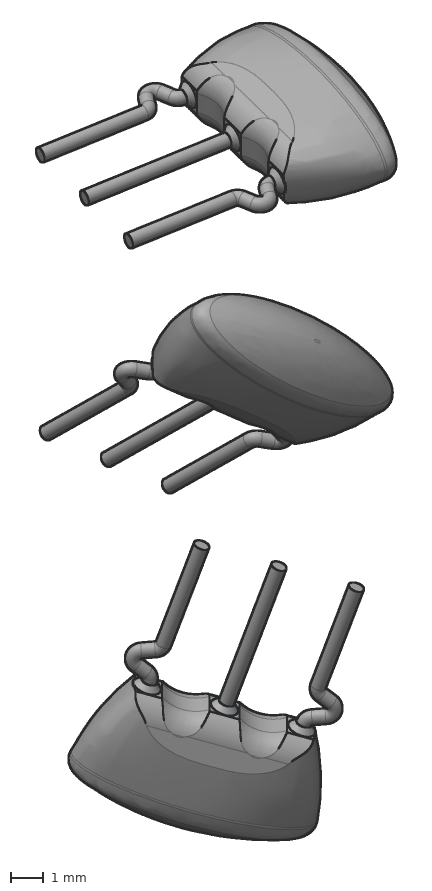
import cadquery as cq
import math

LEAD_RADIUS = 0.25
LEAD_PITCH = 2.5
LEAD_TOP = 5.22
KINK_BOTTOM = 3.8
KINK_OFFSET = 0.74
BEND_RADIUS = 0.29

BODY_TOP = 9.8
HALF_WIDTH = 4.05
SHOULDER_Y = 8.87
CROWN_MID = (2.02, 9.58)
FLANK_MID = (3.63, 6.99)
BASE_HALF_WIDTH = 2.91
BASE_Y = 5.43
SHOULDER_ROUND = 0.49
THICKNESS_RATIO = 0.375
CROWN_BASE = 8.43
SECTION_COUNT = 5
SECTION_POINTS = 32
ELLIPSE_EXPONENT = 2.0
BASE_EXPONENT = 3.8

NOSE_FLAT = 0.47
NOSE_MID = (5.68, 0.85)
NOSE_SHOULDER = (6.13, 1.11)
NOSE_END = (7.35, 1.52)

SCALLOP_RADIUS = 1.27
SCALLOP_TOP = 5.68
SCALLOP_FLAT = 0.37
FLARE_DEPTH = 0.74
FLARE_RISE = 0.49
FLARE_RUNOUT = 0.39

COLLAR_HEIGHT = 0.24
COLLAR_RADIUS = 0.47


def make_crown():
    """Top of a turned solid with a rounded shoulder, flattened along Z."""
    turned = (
        cq.Workplane("XY")
        .moveTo(0, BODY_TOP)
        .threePointArc(CROWN_MID, (HALF_WIDTH, SHOULDER_Y))
        .threePointArc(FLANK_MID, (BASE_HALF_WIDTH, BASE_Y))
        .lineTo(0, BASE_Y)
        .close()
        .revolve(360, (0, 0, 0), (0, 1, 0))
    )
    shoulder_edge = cq.selectors.NearestToPointSelector((0, SHOULDER_Y, 0))
    rounded = turned.edges(shoulder_edge).fillet(SHOULDER_ROUND)
    squash = cq.Matrix([[1, 0, 0, 0], [0, 1, 0, 0], [0, 0, THICKNESS_RATIO, 0]])
    squashed = cq.Workplane(rounded.val().transformGeometry(squash))
    below_crown = (
        cq.Workplane("XZ", origin=(0, CROWN_BASE, 0))
        .rect(4 * HALF_WIDTH, 4 * HALF_WIDTH)
        .extrude(BODY_TOP)
    )
    return squashed.cut(below_crown)


def flank_half_width(y):
    """Half width of the arc through the shoulder, FLANK_MID and the base."""
    flank = cq.Edge.makeThreePointArc(
        cq.Vector(HALF_WIDTH, SHOULDER_Y), cq.Vector(*FLANK_MID), cq.Vector(BASE_HALF_WIDTH, BASE_Y)
    )
    center = flank.arcCenter()
    return center.x + math.sqrt(flank.radius() ** 2 - (y - center.y) ** 2)


def make_section(y, exponent):
    """Closed superellipse across the body at height y."""
    half_width = flank_half_width(y)
    half_thickness = THICKNESS_RATIO * half_width
    points = []
    for index in range(SECTION_POINTS):
        angle = 2 * math.pi * index / SECTION_POINTS
        across, through = math.cos(angle), math.sin(angle)
        reach = (abs(across) ** exponent + abs(through) ** exponent) ** (-1 / exponent)
        points.append(cq.Vector(half_width * reach * across, y, half_thickness * reach * through))
    return cq.Wire.assembleEdges([cq.Edge.makeSpline(points, periodic=True)])


def make_lower_part():
    sections = []
    for index in range(SECTION_COUNT):
        fraction = index / (SECTION_COUNT - 1)
        y = CROWN_BASE + fraction * (BASE_Y - CROWN_BASE)
        exponent = ELLIPSE_EXPONENT + fraction * (BASE_EXPONENT - ELLIPSE_EXPONENT)
        sections.append(make_section(y, exponent))
    return cq.Workplane(cq.Solid.makeLoft(sections))


def make_nose_envelope():
    """Slab along X whose lower end is rounded across the thickness."""
    mid_y, mid_z = NOSE_MID
    shoulder_y, shoulder_z = NOSE_SHOULDER
    end_y, end_z = NOSE_END
    return (
        cq.Workplane("YZ")
        .moveTo(BASE_Y, -NOSE_FLAT)
        .lineTo(BASE_Y, NOSE_FLAT)
        .threePointArc((mid_y, mid_z), (shoulder_y, shoulder_z))
        .lineTo(end_y, end_z)
        .lineTo(BODY_TOP, end_z)
        .lineTo(BODY_TOP, -end_z)
        .lineTo(end_y, -end_z)
        .lineTo(shoulder_y, -shoulder_z)
        .threePointArc((mid_y, -mid_z), (BASE_Y, -NOSE_FLAT))
        .close()
        .extrude(HALF_WIDTH, both=True)
    )


def make_scallop_cutter(x):
    """Spool along Z that cuts a scallop and rounds both of its rims."""
    flare_radius = (FLARE_DEPTH**2 + FLARE_RISE**2) / (2 * FLARE_RISE)
    flare_angle = math.asin(FLARE_DEPTH / flare_radius)
    half_angle = flare_angle / 2
    flare_mid = (
        SCALLOP_RADIUS + flare_radius * (1 - math.cos(half_angle)),
        SCALLOP_FLAT + flare_radius * math.sin(half_angle),
    )
    flare_end = (SCALLOP_RADIUS + FLARE_RISE, SCALLOP_FLAT + FLARE_DEPTH)
    end_z = flare_end[1] + FLARE_RUNOUT
    end_radius = flare_end[0] + FLARE_RUNOUT * math.tan(flare_angle)
    half_spool = (
        cq.Workplane("XZ")
        .lineTo(SCALLOP_RADIUS, 0)
        .lineTo(SCALLOP_RADIUS, SCALLOP_FLAT)
        .threePointArc(flare_mid, flare_end)
        .lineTo(end_radius, end_z)
        .lineTo(0, end_z)
        .close()
        .revolve(360, (0, 0, 0), (0, 1, 0))
    )
    spool = half_spool.union(half_spool.mirror("XY"))
    return spool.translate((x, SCALLOP_TOP - SCALLOP_RADIUS, 0))


def make_collar(x):
    """Cone that widens from the lead into the body."""
    cone = cq.Solid.makeCone(
        LEAD_RADIUS, COLLAR_RADIUS, COLLAR_HEIGHT, cq.Vector(x, LEAD_TOP, 0), cq.Vector(0, 1, 0)
    )
    return cq.Workplane(cone)


def make_body():
    body = make_crown().union(make_lower_part()).intersect(make_nose_envelope())
    for side in (-1, 1):
        body = body.cut(make_scallop_cutter(side * LEAD_PITCH / 2))
    for position in (-1, 0, 1):
        body = body.union(make_collar(position * LEAD_PITCH))
    return body


def make_straight_lead():
    return cq.Workplane("XZ").circle(LEAD_RADIUS).extrude(-LEAD_TOP)


def make_kinked_lead(side):
    """Outer lead with a V-shaped kink pointing away from the middle lead."""
    lead_x = side * LEAD_PITCH
    half_height = (LEAD_TOP - KINK_BOTTOM) / 2
    apex_y = KINK_BOTTOM + half_height
    inner_reach = KINK_OFFSET - 2 * BEND_RADIUS
    bend_angle = math.asin(2 * BEND_RADIUS / math.hypot(inner_reach, half_height)) + math.atan2(
        inner_reach, half_height
    )

    def bend_point(angle):
        """Sideways and lengthwise travel along a bend that starts lengthwise."""
        return BEND_RADIUS * (1 - math.cos(angle)), BEND_RADIUS * math.sin(angle)

    mid_out, mid_along = bend_point(bend_angle / 2)
    end_out, end_along = bend_point(bend_angle)

    def at(out, y):
        return lead_x + side * out, y

    path = (
        cq.Workplane("XY")
        .moveTo(*at(0, 0))
        .lineTo(*at(0, KINK_BOTTOM))
        .threePointArc(at(mid_out, KINK_BOTTOM + mid_along), at(end_out, KINK_BOTTOM + end_along))
        .lineTo(*at(KINK_OFFSET - end_out, apex_y - end_along))
        .threePointArc(at(KINK_OFFSET, apex_y), at(KINK_OFFSET - end_out, apex_y + end_along))
        .lineTo(*at(end_out, LEAD_TOP - end_along))
        .threePointArc(at(mid_out, LEAD_TOP - mid_along), at(0, LEAD_TOP))
    )
    return cq.Workplane("XZ").center(lead_x, 0).circle(LEAD_RADIUS).sweep(path)


body = make_body()
middle_lead = make_straight_lead()
outer_leads = [make_kinked_lead(side) for side in (-1, 1)]

result = cq.Compound.makeCompound(
    [*body.solids().vals(), middle_lead.val(), *[lead.val() for lead in outer_leads]]
)